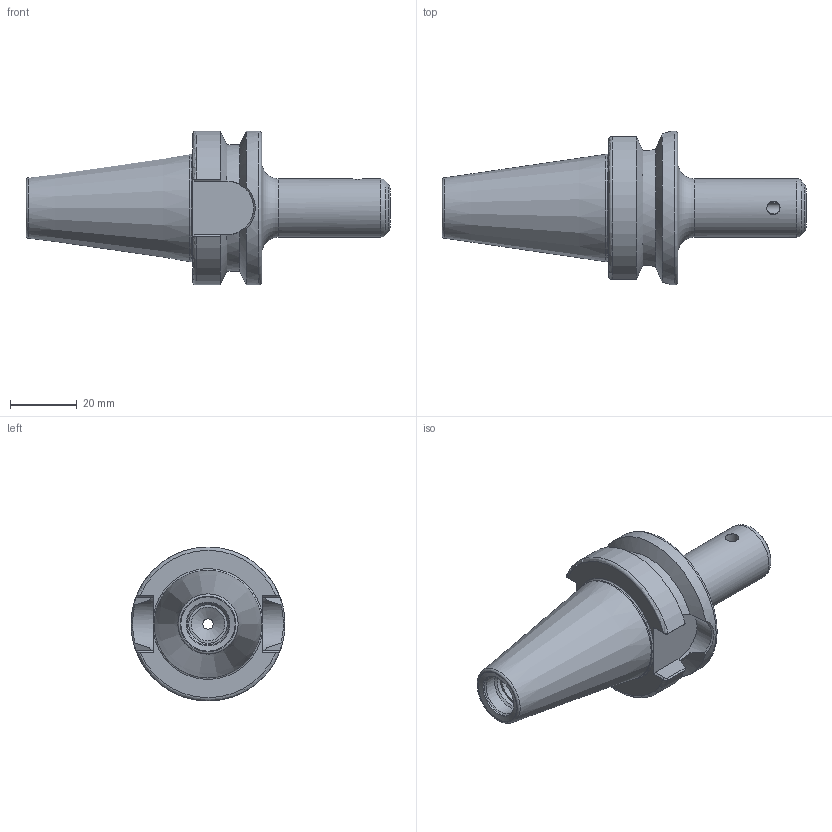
import cadquery as cq
import math


clearance = 1.0
pick_margin = 0.1

overall_length = 108.74
taper_length = 47.8
tail_x = -taper_length
nose_x = tail_x + overall_length

gauge_diameter = 31.75
taper_ratio = 7 / 24
tail_edge = 0.7
taper_end_x = 1.1
neck_fillet = 0.5

flange_radius = 46 / 2
flange_front_x = 2.0
flange_back_x = 22.6
rim_round = 1.0
front_rim_end_x = 10.2
groove_front_x = 12.2
groove_back_x = 16.0
rear_rim_start_x = 18.0
groove_radius = 18.9

shank_radius = 17.53 / 2
shank_fillet = 5.0
nose_cone_length = 1.82
nose_cone_angle = 52
nose_fillet = 2.0

slot_width = 16.1
slot_floor_y = 16.3
slot_end_x = 20.2
slot_bevel = 0.5

mouth_radius = 16.2 / 2
mouth_depth = 0.4
entry_radius = 13.1 / 2
entry_depth = 0.9
pilot_radius = 12.5 / 2
pilot_start = 1.4
pilot_end = 5.0
seat_radius = 11.5 / 2
seat_start = 5.6
seat_end = 6.9
thread_radius = 10.11 / 2
thread_end = 24.0
drill_point_angle = 118
coolant_radius = 3.17 / 2

cross_hole_radius = 3.96 / 2
cross_hole_x = 51.2


def taper_radius(x):
    return (gauge_diameter + x * taper_ratio) / 2


def taper_profile():
    """Half outline of the taper and flange, from the tail centre to the back of the flange."""
    neck_radius = taper_radius(taper_end_x)
    return (
        cq.Workplane("XY")
        .moveTo(tail_x, 0)
        .lineTo(tail_x, taper_radius(tail_x))
        .lineTo(taper_end_x, neck_radius)
        .lineTo(flange_front_x - neck_fillet, neck_radius)
        .radiusArc((flange_front_x, neck_radius + neck_fillet), -neck_fillet)
        .lineTo(flange_front_x, flange_radius - rim_round)
        .radiusArc((flange_front_x + rim_round, flange_radius), rim_round)
        .lineTo(front_rim_end_x, flange_radius)
        .lineTo(groove_front_x, groove_radius)
        .lineTo(groove_back_x, groove_radius)
        .lineTo(rear_rim_start_x, flange_radius)
        .lineTo(flange_back_x - rim_round, flange_radius)
        .radiusArc((flange_back_x, flange_radius - rim_round), rim_round)
    )


def turned_body():
    """Solid of revolution of the whole tool, before the slots and holes."""
    cone_start_x = nose_x - nose_cone_length
    cone_end_radius = shank_radius - nose_cone_length * math.tan(math.radians(nose_cone_angle))
    profile = (
        taper_profile()
        .lineTo(flange_back_x, shank_radius + shank_fillet)
        .radiusArc((flange_back_x + shank_fillet, shank_radius), -shank_fillet)
        .lineTo(cone_start_x, shank_radius)
        .lineTo(nose_x, cone_end_radius)
        .lineTo(nose_x, 0)
        .close()
    )
    body = profile.revolve(axisStart=(0, 0, 0), axisEnd=(1, 0, 0))
    nose_edges = cq.selectors.BoxSelector(
        (cone_start_x - pick_margin, -flange_radius, -flange_radius),
        (nose_x + pick_margin, flange_radius, flange_radius),
        boundingbox=True,
    )
    body = body.edges(nose_edges).edges("%CIRCLE").fillet(nose_fillet)
    return body.faces("<X").edges().fillet(tail_edge)


def drive_slot(side):
    """Round-ended slot that opens at the front of the flange, with its flat floor facing Y."""
    half_width = slot_width / 2
    round_x = slot_end_x - half_width
    return (
        cq.Workplane("XZ", origin=(0, side * slot_floor_y, 0))
        .moveTo(0, -half_width)
        .lineTo(round_x, -half_width)
        .threePointArc((slot_end_x, 0), (round_x, half_width))
        .lineTo(0, half_width)
        .close()
        .extrude(-side * flange_radius)
    )


def bevel_slot_edges(body, side):
    """Bevel the slot edges on the flange front and on both rims, but not inside the V groove."""
    half_width = slot_width / 2 + pick_margin
    slot_mouth = cq.selectors.BoxSelector(
        (flange_front_x - pick_margin, side * (slot_floor_y - pick_margin), -half_width),
        (slot_end_x + pick_margin, side * (flange_radius + pick_margin), half_width),
        boundingbox=True,
    )

    def is_outer_edge(edge):
        middle = edge.positionAt(0.5)
        on_front = middle.x < flange_front_x + pick_margin and abs(middle.y) > slot_floor_y + pick_margin
        on_rim = math.hypot(middle.y, middle.z) > flange_radius - rim_round
        return on_front or on_rim

    return body.edges(slot_mouth).filter(is_outer_edge).chamfer(slot_bevel)


def stepped_bore():
    """Stepped bore from the small end, ending in a drill point and the coolant hole."""
    point_length = (thread_radius - coolant_radius) / math.tan(math.radians(drill_point_angle / 2))
    return (
        cq.Workplane("XY")
        .moveTo(tail_x, 0)
        .lineTo(tail_x, mouth_radius)
        .lineTo(tail_x + mouth_depth, entry_radius)
        .lineTo(tail_x + entry_depth, entry_radius)
        .lineTo(tail_x + pilot_start, pilot_radius)
        .lineTo(tail_x + pilot_end, pilot_radius)
        .lineTo(tail_x + seat_start, seat_radius)
        .lineTo(tail_x + seat_end, seat_radius)
        .lineTo(tail_x + seat_end, thread_radius)
        .lineTo(tail_x + thread_end, thread_radius)
        .lineTo(tail_x + thread_end + point_length, coolant_radius)
        .lineTo(nose_x + clearance, coolant_radius)
        .lineTo(nose_x + clearance, 0)
        .close()
        .revolve(axisStart=(0, 0, 0), axisEnd=(1, 0, 0))
    )


def cross_hole():
    """Radial hole from the top of the shank down to the coolant hole."""
    return (
        cq.Workplane("XY", origin=(cross_hole_x, 0, 0))
        .circle(cross_hole_radius)
        .extrude(shank_radius + clearance)
    )


result = turned_body()
for side in (-1, 1):
    result = result.cut(drive_slot(side))
    result = bevel_slot_edges(result, side)
result = result.cut(stepped_bore()).cut(cross_hole())